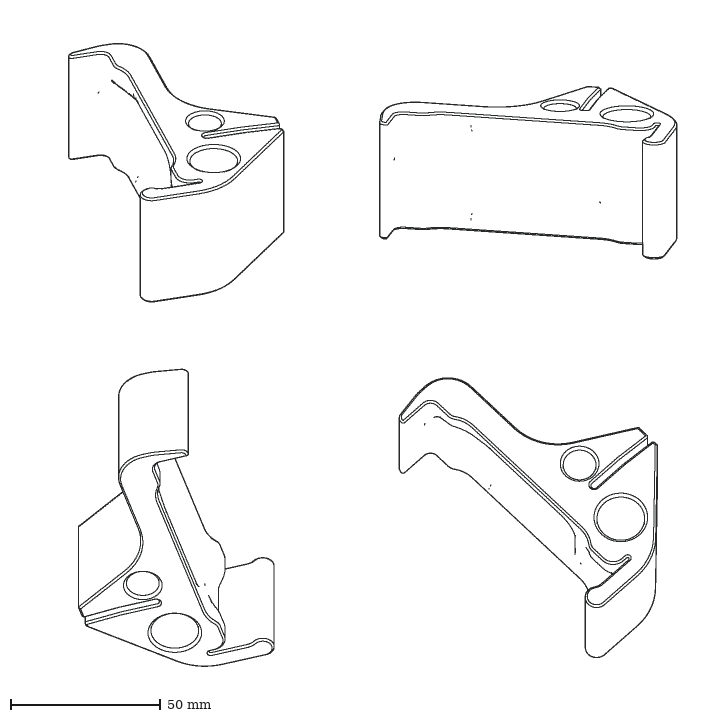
import cadquery as cq
import math

length = 100.0
depth = 57.7
height = 41.0
edge_chamfer = 0.7

bar_front = 17.5
bar_back = 27.9
pad_front = 14.7
pad_rise = bar_front - pad_front
pad_slope = math.radians(35.6)
pad_radius = 4.0
bar_radius = 10.5
left_ramp_start = 14.6
right_ramp_start = 81.5
ramp_run = pad_rise / math.tan(pad_slope)
right_pad_radius = 5.0

hook_inner_x = 4.9
hook_inner_radius = 3.0
hook_tip_y = 1.8
hook_bend_y = 13.3
hook_bend_radius = 20.0
hook_taper = math.radians(10)
hook_tip_radius = 2.3
hook_lip_radius = 0.8
shoulder_radius = 11.0

arm_inner_x = 93.7
arm_slot_width = 1.0
arm_slot_top = 21.7
bulb_width = 7.7
bulb_radius = bulb_width / 2
neck_radius = 5.0
arm_shoulder_radius = 20.0

tower_left_x = 60.7
tower_right_x = 69.8
tower_slope = math.radians(60)
tower_root_radius = 20.0
slit_x = 65.9
slit_width = 2.2
slit_bottom = 30.9
slit_bend_y = 44.6
slit_lean = 0.85
lip_radius = 0.8

holes = [(56.9, 33.9, 11.0), (80.8, 30.0, 16.0)]
hole_chamfer = 1.0

pocket_depth = 6.0
pocket_side_radius = 10.0
pocket_end_radius = 8.0
pocket_mouth_radius = 3.9
pocket_half_width = 15.4
pocket_right_x = 71.0
pocket_side_lean = math.radians(45)
pocket_end_lean = math.radians(30)
pocket_nose_lean = math.radians(42)
pocket_nose_turn = math.radians(17)
pocket_nose_floor_x = 28.3
pocket_clearance = 7.0

channel_floor_half_width = 7.1
channel_floor_radius = 8.0
channel_wall_angle = math.radians(45)
channel_mouth_radius = 3.0


def rounded_outline(corners):
    """Closed wire through (x, y, radius) corners, each rounded by a tangent arc."""
    stretches = []
    count = len(corners)
    shortest_line = 1e-06
    for i, (x, y, radius) in enumerate(corners):
        corner = cq.Vector(x, y)
        to_last = (cq.Vector(*corners[i - 1][:2]) - corner).normalized()
        to_next = (cq.Vector(*corners[(i + 1) % count][:2]) - corner).normalized()
        half_angle = to_last.getAngle(to_next) / 2
        tangent = radius / math.tan(half_angle)
        bisector = (to_last + to_next).normalized()
        middle = corner + bisector * (radius / math.sin(half_angle) - radius)
        stretches.append((corner + to_last * tangent, middle, corner + to_next * tangent, radius))

    edges = []
    for i, (start, middle, end, radius) in enumerate(stretches):
        if radius > 0:
            edges.append(cq.Edge.makeThreePointArc(start, middle, end))
        next_start = stretches[(i + 1) % count][0]
        if (next_start - end).Length > shortest_line:
            edges.append(cq.Edge.makeLine(end, next_start))
    return cq.Wire.assembleEdges(edges)


def bulb_neck_corners():
    """Sharp corners of the tangent line that joins the bulb to the arm's inner side."""
    bulb_x = length - bulb_radius
    across = bulb_x - arm_inner_x + neck_radius
    along = math.sqrt((bulb_radius + neck_radius) ** 2 - across ** 2)
    half_turn = math.atan2(along, across) / 2
    bulb_corner_y = bulb_radius + bulb_radius * math.tan(half_turn)
    neck_corner_y = bulb_radius + along - neck_radius * math.tan(half_turn)
    return (
        (length - bulb_width, bulb_corner_y, bulb_radius),
        (arm_inner_x, neck_corner_y, neck_radius),
    )


def body():
    """Plan outline extruded to full height about Z = 0, with chamfered end faces."""
    slit_left = slit_x - slit_width / 2
    slit_right = slit_x + slit_width / 2
    slot_left = arm_inner_x - arm_slot_width
    root_x = tower_left_x - (depth - bar_back) / math.tan(tower_slope)
    tip_x = (hook_bend_y - hook_tip_y) * math.tan(hook_taper)
    bulb_corner, neck_corner = bulb_neck_corners()
    corners = [
        (root_x, bar_back, tower_root_radius),
        (tower_left_x, depth, 0),
        (slit_left + slit_lean, depth, lip_radius),
        (slit_left, slit_bend_y, 0),
        (slit_left, slit_bottom, slit_width / 2),
        (slit_right, slit_bottom, slit_width / 2),
        (slit_right, slit_bend_y, 0),
        (slit_right + slit_lean, depth, lip_radius),
        (tower_right_x, depth, 0),
        (length, depth - (length - tower_right_x), arm_shoulder_radius),
        (length, 0, bulb_radius),
        (length - bulb_width, 0, bulb_radius),
        bulb_corner,
        neck_corner,
        (arm_inner_x, arm_slot_top, arm_slot_width / 2),
        (slot_left, arm_slot_top, arm_slot_width / 2),
        (slot_left, pad_front, right_pad_radius),
        (right_ramp_start, pad_front, pad_radius),
        (right_ramp_start - ramp_run, bar_front, bar_radius),
        (left_ramp_start + ramp_run, bar_front, bar_radius),
        (left_ramp_start, pad_front, pad_radius),
        (hook_inner_x, pad_front, hook_inner_radius),
        (hook_inner_x, hook_tip_y, hook_lip_radius),
        (tip_x, hook_tip_y, hook_tip_radius),
        (0, hook_bend_y, hook_bend_radius),
        (0, bar_back, shoulder_radius),
    ]
    face = cq.Face.makeFromWires(rounded_outline(corners))
    solid = cq.Solid.extrudeLinear(face, cq.Vector(0, 0, height))
    prism = cq.Workplane(obj=solid.translate(cq.Vector(0, 0, -height / 2)))
    return prism.faces("|Z").chamfer(edge_chamfer)


def drill_holes(part):
    """Cut the through holes and chamfer both of their rims."""
    for x, y, diameter in holes:
        radius = diameter / 2
        hole = cq.Workplane(origin=(x, y)).circle(radius).extrude(height / 2, both=True)
        part = part.cut(hole)
        for side in (1, -1):
            rim_center = cq.Vector(x, y, side * height / 2)
            inward = cq.Vector(0, 0, -side)
            cone = cq.Solid.makeCone(radius + hole_chamfer, radius, hole_chamfer, rim_center, inward)
            part = part.cut(cq.Workplane(obj=cone))
    return part


def pocket_section(y):
    """Corners (x, z) of the sharp pocket, cut by the plane at y."""
    rise = bar_front + pocket_depth - y
    half_width = pocket_half_width + (bar_front - y) * math.tan(pocket_side_lean)
    right = pocket_right_x + (bar_front - y) * math.tan(pocket_end_lean)
    floor_half_width = pocket_half_width - pocket_depth * math.tan(pocket_side_lean)
    nose_slope = math.tan(pocket_nose_turn)
    nose_offset = rise * math.tan(pocket_nose_lean) / math.cos(pocket_nose_turn)
    nose_zero = floor_half_width - nose_slope * pocket_nose_floor_x + nose_offset
    blend_x = (half_width - nose_zero) / nose_slope
    left_half_width = nose_zero + nose_slope * hook_inner_x
    upper = [(hook_inner_x, left_half_width), (blend_x, half_width), (right, half_width)]
    return upper + [(x, -z) for x, z in reversed(upper)]


def edges_between(part, low, high):
    """Edges whose centres lie in the box from low to high."""
    return part.edges(cq.selectors.BoxSelector(low, high))


def finger_pocket():
    """Pocket solid whose long sides run into the floor more softly than its two ends."""
    floor_y = bar_front + pocket_depth
    outer_y = bar_front - pocket_clearance
    wires = []
    for y in (floor_y, outer_y):
        points = [cq.Vector(x, y, z) for x, z in pocket_section(y)]
        wires.append(cq.Wire.makePolygon(points, close=True))
    cutter = cq.Workplane(obj=cq.Solid.makeLoft(wires, True))
    cutter = cutter.faces(">Y").edges("|X").fillet(pocket_side_radius)

    end_reach = 9.0
    margin = 1.0
    low_y = outer_y + margin
    high_y = floor_y + margin
    nose_edges = edges_between(
        cutter, (0, low_y, -height), (hook_inner_x + end_reach, high_y, height)
    )
    right_edges = edges_between(
        cutter, (pocket_right_x - end_reach, low_y, -height), (length, high_y, height)
    )
    return nose_edges.add(right_edges).fillet(pocket_end_radius)


def round_pocket_mouth(part):
    """Round the pocket rim; the fillet runs on from the bar front over the left pad."""
    margin = 0.5
    rim_edges = edges_between(
        part,
        (pocket_nose_floor_x, bar_front - margin, -pocket_half_width - margin),
        (pocket_right_x + margin, bar_front + margin, pocket_half_width + margin),
    )
    return rim_edges.fillet(pocket_mouth_radius)


def channel_rim_z():
    """Half width of the channel where its sloping wall meets the pad front."""
    curve_width = channel_floor_radius * math.sin(channel_wall_angle)
    curve_drop = channel_floor_radius * (1 - math.cos(channel_wall_angle))
    wall_width = (pad_rise - curve_drop) / math.tan(channel_wall_angle)
    return channel_floor_half_width + curve_width + wall_width


def thumb_channel():
    """Channel solid level with the bar front, with a curve and a sloping wall on each side."""
    def curve_point(angle):
        y = bar_front - channel_floor_radius * (1 - math.cos(angle))
        z = channel_floor_half_width + channel_floor_radius * math.sin(angle)
        return y, z

    start_x = right_ramp_start - 2 * ramp_run
    end_x = arm_inner_x - arm_slot_width / 2
    half = (
        cq.Workplane("YZ", origin=(start_x, 0, 0))
        .moveTo(bar_front, 0)
        .lineTo(bar_front, channel_floor_half_width)
        .threePointArc(curve_point(channel_wall_angle / 2), curve_point(channel_wall_angle))
        .lineTo(pad_front, channel_rim_z())
        .lineTo(pad_front, 0)
        .close()
        .extrude(end_x - start_x)
    )
    return half.union(half.mirror("XY"))


def round_channel_mouth(part):
    """Round the channel rim; the fillet runs on over the ramp and the exit to the arm slot."""
    margin = 0.1
    rim_z = channel_rim_z()
    rim_edges = edges_between(
        part,
        (right_ramp_start, pad_front - margin, -rim_z - margin),
        (arm_inner_x, pad_front + margin, rim_z + margin),
    )
    return rim_edges.edges("|X").fillet(channel_mouth_radius)


result = drill_holes(body())
result = round_pocket_mouth(result.cut(finger_pocket()))
result = round_channel_mouth(result.cut(thumb_channel())).solids()